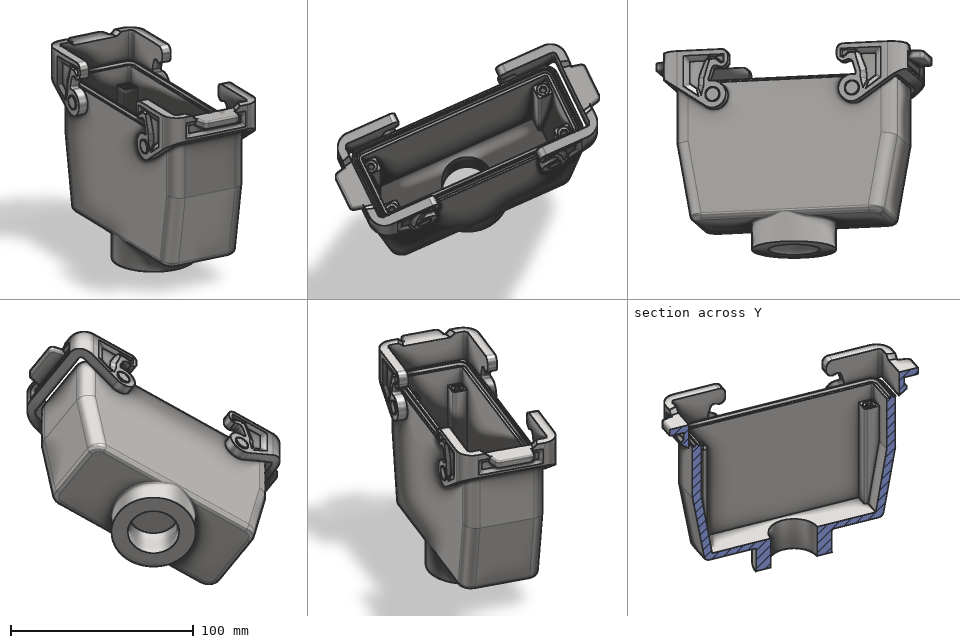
import cadquery as cq
import math

housing_half_length = 61.5
housing_half_width = 23.2
base_half_length = 53.9
base_z = 14.9
slope_start_z = 58.0
shoulder_z = 90.6
corner_radius = 7.4
base_edge_radius = 3.3

wall = 5.5
floor_z = 19.1
cavity_half_length = housing_half_length - wall
cavity_half_width = housing_half_width - wall
cavity_floor_half_length = 49.4
cavity_corner_radius = 1.4

bead_height = 1.5
bead_outer_inset = 1.2
bead_inner_inset = 3.9
bead_taper = 34

outlet_radius = 23.0
outlet_fillet_radius = 0.8
bore_radius = 14.0

post_length = 8.6
post_width = 8.1
post_top_z = 80.4
post_edge_radius = 1.5
screw_x = 51.9
screw_y = 13.5
screw_head_radius = 3.5
screw_head_depth = 0.5
socket_diameter = 4.0
socket_depth = 3.0

lever_outer_x = 68.3
lever_inner_x = 63.5
lever_half_width = 28.7
lever_top_z = 107.9
lever_low_z = 93.6
lever_corner_radius = 9.2
lever_inner_radius = 2.3
pivot_x = 39.1
pivot_z = 83.0
pivot_boss_radius = 7.5
pin_radius = 3.8
pin_hole_radius = 4.0
pin_groove_depth = 0.5
pin_proud = 0.23
hook_tip_x = 30.5
hook_radius = 3.8
hook_low_z = 98.0
pocket_depth = 1.5
pocket_corner_radius = 1.8
hook_slot_taper = 25

tab_end_x = 75.2
tab_root_half_width = 13.5
tab_end_half_width = 10.8
tab_low_z = 101.1
tab_top_z = 105.7
tab_corner_radius = 2.7
tab_edge_radius = 0.9
notch_inner_half_width = 16.5
notch_outer_half_width = 15.0
notch_floor_outer_half_width = 12.6
recess_half_width = 18.8
recess_low_z = 95.1
recess_high_z = 104.3
recess_slope = 2.3


def tapered_prism(bottom, top, bottom_z, top_z):
    """Ruled solid between two horizontal polygons with matching corners."""
    return (
        cq.Workplane("XY", origin=(0, 0, bottom_z)).polyline(bottom).close()
        .workplane(offset=top_z - bottom_z).polyline(top).close()
        .loft(ruled=True)
    )


def end_sloped_block(half_top, half_base, half_width, low_z, high_z):
    """Block whose two ends lean inward below the slope start."""
    return (
        cq.Workplane("XZ")
        .polyline([
            (-half_base, low_z), (half_base, low_z), (half_top, slope_start_z),
            (half_top, high_z), (-half_top, high_z), (-half_top, slope_start_z),
        ])
        .close()
        .extrude(half_width, both=True)
    )


def end_corner_edges(block):
    """The upright and leaning edges at the four corners of a block."""
    upright = cq.selectors.ParallelDirSelector(cq.Vector(0, 0, 1))
    lean = cq.Vector(housing_half_length - base_half_length, 0, slope_start_z - base_z)
    mirrored_lean = cq.Vector(-lean.x, 0, lean.z)
    leaning = cq.selectors.ParallelDirSelector(lean) + cq.selectors.ParallelDirSelector(mirrored_lean)
    return block.edges(upright + leaning)


def make_housing_shell():
    block = end_sloped_block(
        housing_half_length, base_half_length, housing_half_width, base_z, shoulder_z
    )
    return end_corner_edges(block).fillet(corner_radius).faces("<Z").edges().fillet(base_edge_radius)


def make_cavity():
    cavity = end_sloped_block(
        cavity_half_length, cavity_floor_half_length, cavity_half_width,
        floor_z, shoulder_z + bead_height,
    )
    return cavity.edges("|Z").fillet(cavity_corner_radius)


def rim_outline(inset, z):
    """Rounded rectangle that follows the rim at a distance from its outer edge."""
    return (
        cq.Workplane("XY", origin=(0, 0, z))
        .sketch()
        .rect(2 * (housing_half_length - inset), 2 * (housing_half_width - inset))
        .vertices().fillet(corner_radius - inset)
        .finalize()
    )


def make_bead():
    outer = rim_outline(bead_outer_inset, shoulder_z).extrude(bead_height, taper=bead_taper)
    inner = rim_outline(bead_inner_inset, shoulder_z).extrude(bead_height, taper=-bead_taper)
    return outer.cut(inner)


def add_outlet(housing):
    """Join the outlet pipe to the housing with a small fillet where they meet."""
    pipe = cq.Workplane("XY").circle(outlet_radius).extrude(floor_z)
    reach = outlet_radius + outlet_fillet_radius
    joint_zone = cq.selectors.BoxSelector(
        (-reach, -reach, base_z / 2), (reach, reach, floor_z)
    )
    return housing.union(pipe).edges(joint_zone).fillet(outlet_fillet_radius)


def make_post(x_side, y_side):
    center = (
        x_side * (cavity_half_length - post_length / 2),
        y_side * (cavity_half_width - post_width / 2),
    )
    inner_edge = ("<X" if x_side > 0 else ">X") + " and " + ("<Y" if y_side > 0 else ">Y")
    post = (
        cq.Workplane("XY", origin=(*center, floor_z))
        .rect(post_length, post_width)
        .extrude(post_top_z - floor_z)
        .edges("|Z and " + inner_edge).fillet(post_edge_radius)
    )
    screw = cq.Workplane("XY", origin=(x_side * screw_x, y_side * screw_y, post_top_z))
    post = post.cut(screw.circle(screw_head_radius).extrude(-screw_head_depth))
    socket = screw.transformed(rotate=(0, 0, 90)).polygon(6, socket_diameter)
    post = post.cut(socket.extrude(-socket_depth))
    return post.intersect(make_housing_shell())


def lever_profile():
    """Side outline of the left lever with its hook, neck and pivot boss."""
    reach = lever_outer_x - pivot_x
    drop = lever_low_z - pivot_z
    tangent_angle = math.atan2(drop, reach) + math.asin(pivot_boss_radius / math.hypot(reach, drop))
    tangent_x = -pivot_x - pivot_boss_radius * math.sin(tangent_angle)
    tangent_z = pivot_z - pivot_boss_radius * math.cos(tangent_angle)
    hook_center_x = -hook_tip_x - hook_radius
    return (
        cq.Workplane("XZ")
        .moveTo(-lever_outer_x, lever_low_z)
        .lineTo(-lever_outer_x, lever_top_z)
        .lineTo(hook_center_x, lever_top_z)
        .radiusArc((-hook_tip_x, lever_top_z - hook_radius), hook_radius)
        .lineTo(-hook_tip_x, hook_low_z + hook_radius)
        .radiusArc((hook_center_x, hook_low_z), hook_radius)
        .lineTo(-36.4, 98.7)
        .threePointArc((-38.2, 98.7), (-39.5, 97.5))
        .lineTo(-41.2, 92.0)
        .threePointArc((-41.1, 90.8), (-40.0, pivot_z + pivot_boss_radius))
        .lineTo(-pivot_x, pivot_z + pivot_boss_radius)
        .threePointArc((-pivot_x + pivot_boss_radius, pivot_z), (tangent_x, tangent_z))
        .close()
    )


def make_lever_body():
    plan_length = lever_outer_x - hook_tip_x
    side_shape = lever_profile().extrude(lever_half_width, both=True)
    outer = (
        cq.Workplane("XY")
        .center(-lever_outer_x + plan_length / 2, 0)
        .rect(plan_length, 2 * lever_half_width)
        .extrude(lever_top_z)
        .edges("|Z and <X").fillet(lever_corner_radius)
    )
    inner = (
        cq.Workplane("XY")
        .center(-lever_inner_x + plan_length / 2, 0)
        .rect(plan_length, 2 * housing_half_width)
        .extrude(lever_top_z)
        .edges("|Z and <X").fillet(lever_inner_radius)
    )
    return side_shape.intersect(outer.cut(inner))


def make_leg_pocket():
    """Slope-walled pocket in the -Y leg, with its branch into the hook; points are (x, z)."""
    face_outline = [(-55.5, 105.0), (-40.0, 105.0), (-44.0, 92.0), (-44.0, 88.5),
                    (-45.5, 82.6), (-47.0, 82.2), (-55.5, 88.2)]
    floor_outline = [(-52.2, 101.9), (-43.6, 101.9), (-47.0, 93.2), (-47.3, 88.2),
                     (-47.4, 87.1), (-48.5, 86.8), (-52.2, 89.5)]
    hook_outline = [(-41.5, 105.0), (-32.8, 105.0), (-32.8, 100.7), (-34.3, 100.1),
                    (-37.3, 102.6), (-41.5, 102.3)]
    face_plane = cq.Workplane("XZ", origin=(0, -lever_half_width, 0))
    main = (
        face_plane.polyline(face_outline).close()
        .workplane(offset=-pocket_depth).polyline(floor_outline).close()
        .loft(ruled=True)
        .edges("not #Y").filter(lambda edge: edge.Center().x < floor_outline[0][0])
        .fillet(pocket_corner_radius)
    )
    branch = face_plane.polyline(hook_outline).close().extrude(-pocket_depth, taper=hook_slot_taper)
    return main.union(branch)


def make_end_recess():
    """Slope-walled recess in the lever's end wall below the tab."""
    height = recess_high_z - recess_low_z
    middle_z = (recess_high_z + recess_low_z) / 2
    return (
        cq.Workplane("YZ", origin=(-lever_outer_x, 0, middle_z))
        .rect(2 * recess_half_width, height)
        .workplane(offset=pocket_depth)
        .rect(2 * (recess_half_width - recess_slope), height - 2 * recess_slope)
        .loft(ruled=True)
        .edges("not #X").fillet(pocket_corner_radius)
    )


def make_notch():
    """Flaring notch in the top of the end wall, above the tab."""

    def outline(inner_half_width, outer_half_width):
        return [
            (-lever_inner_x, -inner_half_width), (-lever_inner_x, inner_half_width),
            (-lever_outer_x, outer_half_width), (-lever_outer_x, -outer_half_width),
        ]

    return tapered_prism(
        outline(tab_root_half_width, notch_floor_outer_half_width),
        outline(notch_inner_half_width, notch_outer_half_width),
        tab_top_z, lever_top_z,
    )


def make_tab():
    return (
        cq.Workplane("XY", origin=(0, 0, tab_low_z))
        .polyline([
            (-lever_inner_x, -tab_root_half_width), (-lever_inner_x, tab_root_half_width),
            (-tab_end_x, tab_end_half_width), (-tab_end_x, -tab_end_half_width),
        ])
        .close()
        .extrude(tab_top_z - tab_low_z)
        .edges("|Z and <X").fillet(tab_corner_radius)
        .faces("<X").edges("|Y").fillet(tab_edge_radius)
    )


def pivot_disc(side, radius, start, end):
    """Disc on the pivot axis, spanning two offsets from the leg's outer face."""
    start_y = side * (lever_half_width + start)
    return (
        cq.Workplane("XZ", origin=(-pivot_x, start_y, pivot_z))
        .circle(radius)
        .extrude(-side * (end - start))
    )


def make_lever():
    """Left lever with its pivot pins, symmetric about the XZ plane."""
    leg_pocket = make_leg_pocket()
    lever = make_lever_body().cut(leg_pocket).cut(leg_pocket.mirror("XZ"))
    lever = lever.cut(make_end_recess()).cut(make_notch()).union(make_tab())
    for side in (-1, 1):
        lever = lever.cut(pivot_disc(side, pin_hole_radius, -pin_groove_depth, 0))
        lever = lever.union(pivot_disc(side, pin_radius, -pin_groove_depth, pin_proud))
    return lever


housing = add_outlet(make_housing_shell()).cut(make_cavity()).union(make_bead())
result = housing.cut(cq.Workplane("XY").circle(bore_radius).extrude(floor_z))
for x_side in (-1, 1):
    for y_side in (-1, 1):
        result = result.union(make_post(x_side, y_side))
left_lever = make_lever()
result = result.union(left_lever).union(left_lever.mirror("YZ"))